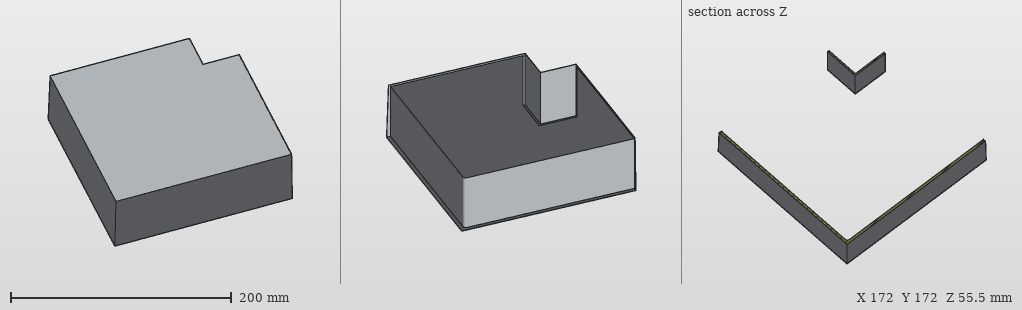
import cadquery as cq

side = 172.0
height = 55.5
notch = 35.0
wall = 2.0
taper = 1.9
inner_radius = 3.0

half = side / 2
inner_edge = half - taper - wall
notch_edge = half - notch
cavity_height = height - wall


def l_prism(outer, inset, open_end, depth):
    """L-shaped prism: outer faces at +X / -Y, notch faces moved inward by inset."""
    notch_face = notch_edge - inset
    points = [
        (-open_end, -outer),
        (outer, -outer),
        (outer, open_end),
        (-notch_face, open_end),
        (-notch_face, notch_face),
        (-open_end, notch_face),
    ]
    return cq.Workplane("XY").polyline(points).close().extrude(depth)


def lean_cutter():
    """Wedge that leans the +X wall inward towards the top."""
    return (
        cq.Workplane("XZ")
        .polyline([(half, 0), (half, height), (half - taper, height)])
        .close()
        .extrude(half, both=True)
    )


body = l_prism(half, 0, half, height)
body = body.cut(lean_cutter())
body = body.cut(lean_cutter().rotate((0, 0, 0), (0, 0, 1), -90))

cavity = l_prism(inner_edge, wall, half, cavity_height)
cavity = cavity.edges("|Z").edges(">(1, -1, 0)").fillet(inner_radius)

result = body.cut(cavity)